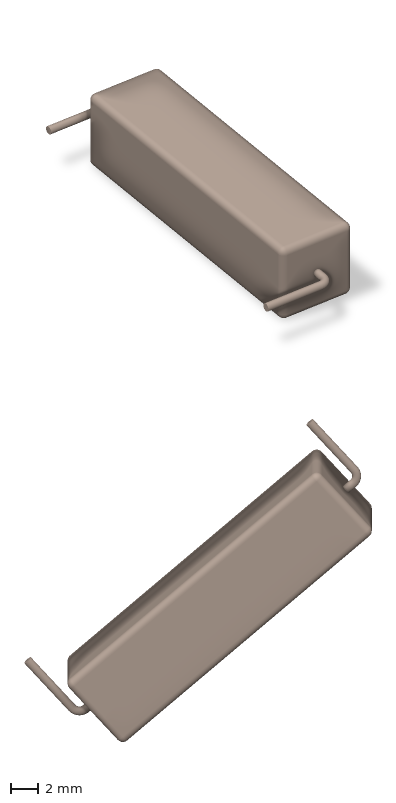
import cadquery as cq

overall_length = 28.6
overall_depth = 8.9
body_length = 25.0
body_side = 6.4
edge_radius = 0.51

wire_diameter = 0.65
bend_radius = 0.75
embed_depth = 0.57

lead_x = (overall_length - wire_diameter) / 2
tip_y = body_side / 2 - overall_depth


def make_body():
    box = cq.Workplane("XY").box(body_length, body_side, body_side)
    return box.edges().fillet(edge_radius)


def make_lead(side):
    """Bent wire at the +X end (side = 1) or the -X end (side = -1)."""
    start_x = body_length / 2 - embed_depth
    bend_start_x = lead_x - bend_radius
    path = (
        cq.Workplane("XY")
        .moveTo(side * start_x, 0)
        .lineTo(side * bend_start_x, 0)
        .tangentArcPoint((side * lead_x, -bend_radius), relative=False)
        .lineTo(side * lead_x, tip_y)
    )
    section = cq.Workplane("YZ", origin=(side * start_x, 0, 0)).circle(wire_diameter / 2)
    return section.sweep(path)


result = make_body()
for side in (-1, 1):
    result = result.union(make_lead(side))